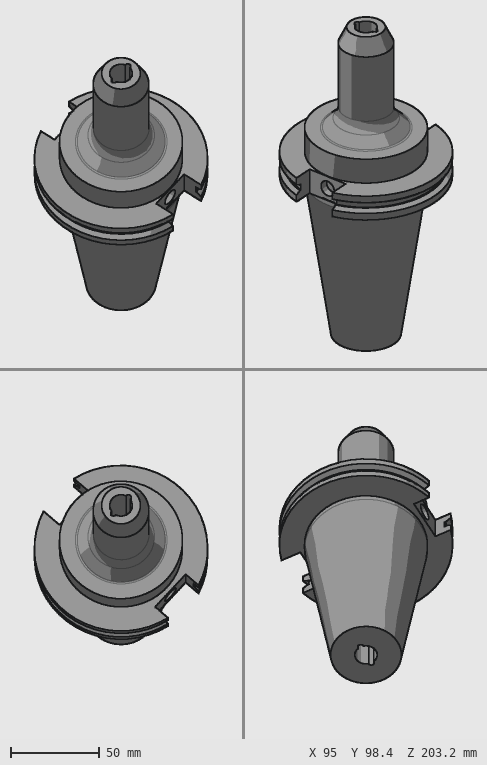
import cadquery as cq
import math


TAPER_LENGTH = 101.6
GAUGE_DIAMETER = 69.85
TAPER_RATE = 7 / 24
GAUGE_RADIUS = GAUGE_DIAMETER / 2
TAPER_END_RADIUS = (GAUGE_DIAMETER - TAPER_RATE * TAPER_LENGTH) / 2

FLANGE_RADIUS = 98.425 / 2
FLANGE_GAP = 3.175
FLANGE_THICKNESS = 15.875
FLANGE_BOTTOM = TAPER_LENGTH + FLANGE_GAP
FLANGE_TOP = FLANGE_BOTTOM + FLANGE_THICKNESS
FLANGE_MIDDLE = (FLANGE_BOTTOM + FLANGE_TOP) / 2
CHANNEL_DEPTH = 3.8
CHANNEL_WIDTH = 3.6
FLANK_DEPTH = 3.0
FLANK_ANGLE = math.radians(30)
FLANK_RISE = FLANK_DEPTH * math.tan(FLANK_ANGLE)

COLLAR_HEIGHT = 15.875
COLLAR_TOP = FLANGE_TOP + COLLAR_HEIGHT

TOTAL_HEIGHT = 203.2
SHANK_RADIUS = 31.75 / 2
TIP_RADIUS = 11.0
TIP_LENGTH = 10.4
NECK_FILLET = 10.3
NECK_TOP = 150.3
NECK_ANGLE = math.radians(45)
FOOT_FILLET = 1.5

SLOT_WIDTH = 25.92
SLOT_FLOOR_LEFT = 37.7
SLOT_FLOOR_RIGHT = 35.3
DIMPLE_DIAMETER = 9.5
DIMPLE_DEPTH = 5.0

BORE_DIAMETER = 12.7
COOLANT_DIAMETER = 3.175


def on_arc(center, radius, angle):
    """Point (r, z) at an angle on a circle in the profile plane."""
    return (center[0] + radius * math.cos(angle), center[1] + radius * math.sin(angle))


def revolved_body():
    """Taper, grooved flange, collar and nose as one turned solid."""
    channel_radius = FLANGE_RADIUS - CHANNEL_DEPTH
    channel_mouth_radius = FLANGE_RADIUS - FLANK_DEPTH
    channel_low = FLANGE_MIDDLE - CHANNEL_WIDTH / 2
    channel_high = FLANGE_MIDDLE + CHANNEL_WIDTH / 2

    neck_center = (SHANK_RADIUS + NECK_FILLET, NECK_TOP)
    neck_mid = on_arc(neck_center, NECK_FILLET, math.pi + NECK_ANGLE / 2)
    neck_end = on_arc(neck_center, NECK_FILLET, math.pi + NECK_ANGLE)

    foot_rise = FOOT_FILLET * (1 - math.sin(NECK_ANGLE))
    cone_drop = neck_end[1] - COLLAR_TOP - foot_rise
    cone_foot = (neck_end[0] + cone_drop * math.tan(NECK_ANGLE), COLLAR_TOP + foot_rise)
    foot_center = (cone_foot[0] + FOOT_FILLET * math.cos(NECK_ANGLE), COLLAR_TOP + FOOT_FILLET)
    foot_start_angle = math.pi + NECK_ANGLE
    foot_end_angle = 3 * math.pi / 2
    foot_mid = on_arc(foot_center, FOOT_FILLET, (foot_start_angle + foot_end_angle) / 2)

    profile = (
        cq.Workplane("XZ")
        .moveTo(0, 0)
        .lineTo(TAPER_END_RADIUS, 0)
        .lineTo(GAUGE_RADIUS, TAPER_LENGTH)
        .lineTo(GAUGE_RADIUS, FLANGE_BOTTOM)
        .lineTo(FLANGE_RADIUS, FLANGE_BOTTOM)
        .lineTo(FLANGE_RADIUS, channel_low - FLANK_RISE)
        .lineTo(channel_mouth_radius, channel_low)
        .lineTo(channel_radius, channel_low)
        .lineTo(channel_radius, channel_high)
        .lineTo(channel_mouth_radius, channel_high)
        .lineTo(FLANGE_RADIUS, channel_high + FLANK_RISE)
        .lineTo(FLANGE_RADIUS, FLANGE_TOP)
        .lineTo(GAUGE_RADIUS, FLANGE_TOP)
        .lineTo(GAUGE_RADIUS, COLLAR_TOP)
        .lineTo(foot_center[0], COLLAR_TOP)
        .threePointArc(foot_mid, cone_foot)
        .lineTo(*neck_end)
        .threePointArc(neck_mid, (SHANK_RADIUS, NECK_TOP))
        .lineTo(SHANK_RADIUS, TOTAL_HEIGHT - TIP_LENGTH)
        .lineTo(TIP_RADIUS, TOTAL_HEIGHT)
        .lineTo(0, TOTAL_HEIGHT)
        .close()
    )
    return profile.revolve(360, (0, 0, 0), (0, 1, 0))


def drive_slot(side, floor_distance):
    """Cutter for the drive slot on one X side, with a dimple in its floor."""
    slot_depth = FLANGE_RADIUS - floor_distance
    slot = cq.Workplane("XY").box(slot_depth, SLOT_WIDTH, FLANGE_THICKNESS)
    slot = slot.translate((side * (floor_distance + slot_depth / 2), 0, FLANGE_MIDDLE))
    dimple = (
        cq.Workplane("YZ", origin=(side * floor_distance, 0, FLANGE_MIDDLE))
        .circle(DIMPLE_DIAMETER / 2)
        .extrude(-side * DIMPLE_DEPTH)
    )
    return slot.union(dimple)


def through_bore():
    """Cutter for the bore and the coolant grooves in its +Y and -Y walls."""
    wall = BORE_DIAMETER / 2
    bore = cq.Workplane("XY").circle(wall).extrude(TOTAL_HEIGHT)
    grooves = (
        cq.Workplane("XY")
        .pushPoints([(0, wall), (0, -wall)])
        .circle(COOLANT_DIAMETER / 2)
        .extrude(TOTAL_HEIGHT)
    )
    return bore.union(grooves)


result = revolved_body().cut(through_bore())
for side, floor_distance in ((-1, SLOT_FLOOR_LEFT), (1, SLOT_FLOOR_RIGHT)):
    result = result.cut(drive_slot(side, floor_distance))